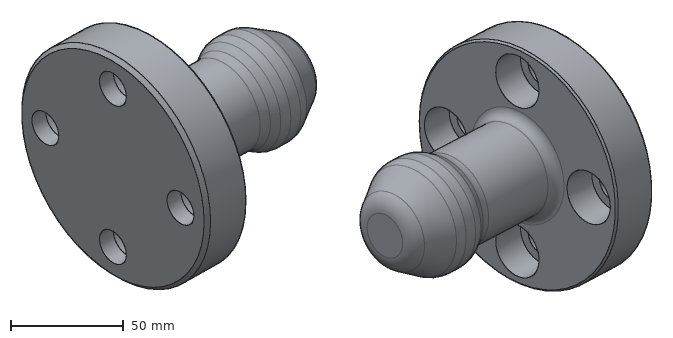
import cadquery as cq
import math

flange_radius = 60.0
flange_thickness = 24.9
front_chamfer = 2.0
back_chamfer = 1.0

hole_count = 4
hole_diameter = 17.0
hole_circle_radius = 42.9
counterbore_diameter = 26.0
counterbore_depth = 16.3

total_length = 112.0
neck_radius = 23.0
head_radius = 28.0
head_band_start = 80.3
head_band_end = 91.8
cone_angle = 30.0
head_blend_radius = 10.0
root_fillet = 5.0

cone_slope = math.tan(math.radians(cone_angle))
neck_end = head_band_start - (head_radius - neck_radius) / cone_slope
tip_radius = head_radius - (total_length - head_band_end) * cone_slope


def make_flange():
    """Plain disc, its mounting face towards -Y."""
    return cq.Workplane("XZ").circle(flange_radius).extrude(-flange_thickness)


def make_stem():
    """Neck and double-cone head with every head corner rounded."""
    profile = [
        (0, 0),
        (neck_radius, 0),
        (neck_radius, neck_end),
        (head_radius, head_band_start),
        (head_radius, head_band_end),
        (tip_radius, total_length),
        (0, total_length),
    ]
    stem = cq.Workplane("XY").polyline(profile).close().revolve(360, (0, 0), (0, 1))
    return stem.edges("%CIRCLE").edges("not <Y").fillet(head_blend_radius)


def make_cutters(diameter, start, end):
    """Cylinders from Y = start to Y = end, evenly spaced from the +X axis."""
    return (
        cq.Workplane("XZ", origin=(0, start, 0))
        .polarArray(hole_circle_radius, 0, 360, hole_count)
        .circle(diameter / 2)
        .extrude(start - end)
    )


flange = make_flange()
flange = flange.edges("<Y").chamfer(front_chamfer)
flange = flange.edges(">Y").chamfer(back_chamfer)

body = flange.union(make_stem())

flange_back = cq.selectors.NearestToPointSelector(
    ((neck_radius + flange_radius) / 2, flange_thickness, 0)
)
root_edge = cq.selectors.RadiusNthSelector(0)
body = body.faces(flange_back).edges(root_edge).fillet(root_fillet)

counterbore_floor = flange_thickness - counterbore_depth
body = body.cut(make_cutters(hole_diameter, 0, flange_thickness))
result = body.cut(make_cutters(counterbore_diameter, counterbore_floor, flange_thickness))